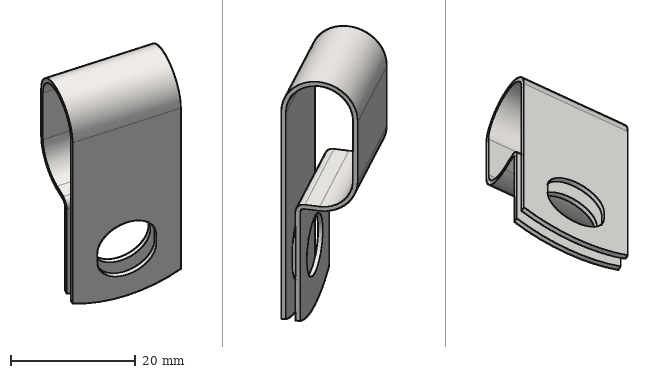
import cadquery as cq

loop_width = 12.75
strip_width = 19.05
height = 46.8
thickness = 0.8

outer_radius = loop_width / 2
inner_radius = outer_radius - thickness
loop_straight = 11.05

leg_gap = 1.6
bend_inner_radius = 0.7
bend_outer_radius = bend_inner_radius + thickness

hole_diameter = 10.35
hole_height = 11.15
slot_straight = 2.0
tip_rise = 2.2

top_center_z = height - outer_radius
low_center_z = top_center_z - loop_straight
shelf_top_z = low_center_z - inner_radius
shelf_bottom_z = low_center_z - outer_radius
leg_right_x = inner_radius - leg_gap
leg_left_x = leg_right_x - thickness
bend_center_x = leg_right_x - bend_outer_radius
bend_center_z = shelf_top_z - bend_outer_radius


def quarter_arc(sketch, center, radius, x_side, z_side, end):
    """Add a quarter circle lying in the given quadrant about its center."""
    reach = radius * 0.5 ** 0.5
    middle = (center[0] + x_side * reach, center[1] + z_side * reach)
    return sketch.threePointArc(middle, end)


def bent_strip():
    """Extrude the edge profile of the bent strip across its width."""
    low_center = (0, low_center_z)
    bend_center = (bend_center_x, bend_center_z)

    sketch = cq.Workplane("XZ").moveTo(outer_radius, 0).lineTo(outer_radius, top_center_z)
    sketch = sketch.threePointArc((0, height), (-outer_radius, top_center_z))
    sketch = sketch.lineTo(-outer_radius, low_center_z)
    sketch = quarter_arc(sketch, low_center, outer_radius, -1, -1, (0, shelf_bottom_z))
    sketch = sketch.lineTo(bend_center_x, shelf_bottom_z)
    sketch = quarter_arc(sketch, bend_center, bend_inner_radius, 1, 1, (leg_left_x, bend_center_z))
    sketch = sketch.lineTo(leg_left_x, 0).lineTo(leg_right_x, 0)

    sketch = sketch.lineTo(leg_right_x, bend_center_z)
    sketch = quarter_arc(sketch, bend_center, bend_outer_radius, 1, 1, (bend_center_x, shelf_top_z))
    sketch = sketch.lineTo(0, shelf_top_z)
    sketch = quarter_arc(sketch, low_center, inner_radius, -1, -1, (-inner_radius, low_center_z))
    sketch = sketch.lineTo(-inner_radius, top_center_z)
    sketch = sketch.threePointArc((0, top_center_z + inner_radius), (inner_radius, top_center_z))
    sketch = sketch.lineTo(inner_radius, 0).close()
    return sketch.extrude(strip_width / 2, both=True)


def side_outline():
    """Block that trims both leg tips to a shallow arc."""
    half_width = strip_width / 2
    return (
        cq.Workplane("YZ")
        .moveTo(-half_width, height)
        .lineTo(-half_width, tip_rise)
        .threePointArc((0, 0), (half_width, tip_rise))
        .lineTo(half_width, height)
        .close()
        .extrude(loop_width, both=True)
    )


def mounting_hole():
    """Cylinder that makes the round hole in the short leg."""
    return (
        cq.Workplane("YZ", origin=(leg_left_x, 0, hole_height))
        .circle(hole_diameter / 2)
        .extrude(thickness)
    )


def adjusting_slot():
    """Upright slot through the long leg, as wide as the round hole."""
    return (
        cq.Workplane("YZ", origin=(inner_radius, 0, hole_height))
        .slot2D(slot_straight + hole_diameter, hole_diameter, angle=90)
        .extrude(thickness)
    )


result = bent_strip().intersect(side_outline()).cut(mounting_hole()).cut(adjusting_slot())